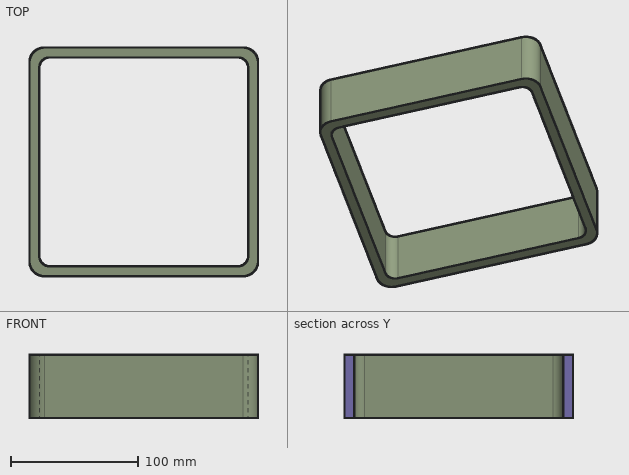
import cadquery as cq

side_length = 180.0
height = 50.0
wall_thickness = 8.0
outer_corner_radius = 12.0
inner_corner_radius = 8.0

opening_length = side_length - 2 * wall_thickness


def rounded_square_prism(side, corner_radius):
    """Upright square block, centred on the Z axis, with rounded vertical edges."""
    block = cq.Workplane("XY").box(side, side, height, centered=(True, True, False))
    return block.edges("|Z").fillet(corner_radius)


outer_block = rounded_square_prism(side_length, outer_corner_radius)
opening = rounded_square_prism(opening_length, inner_corner_radius)

result = outer_block.cut(opening)